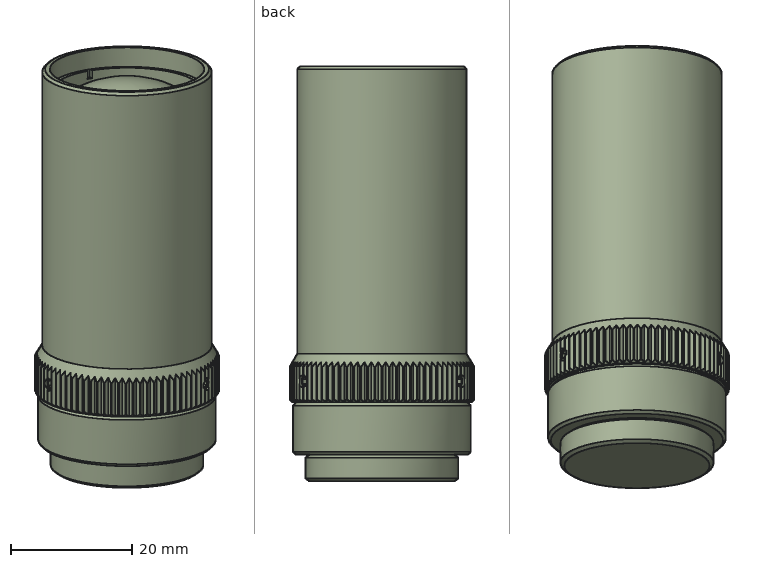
import cadquery as cq
import math

tube_diameter = 28.0
grip_diameter = 30.5
body_diameter = 29.4
mount_diameter = 25.3
mount_neck_diameter = 24.0

mount_edge_height = 3.9
body_bottom = 4.4
body_top = 12.5
grip_bottom = 13.0
grip_cone_top = 21.0
total_height = 68.5

edge_chamfer = 0.5
cone_angle_from_axis = math.radians(30)

rim_bore_diameter = 25.5
ring_bore_diameter = 24.0
lens_diameter = 23.7
ring_top = 65.2
lens_edge_height = 62.4
lens_dome_height = 4.2
spanner_slot_width = 0.8
spanner_slot_depth = 1.4

tooth_count = 80
tooth_crest_width = 0.2
tooth_depth = 0.445

screw_height = 16.5
screw_angles = (30, 150, 270)
screw_hole_diameter = 2.1
screw_face_depth = 0.55
socket_width = 1.3
socket_depth = 1.0

tube_radius = tube_diameter / 2
grip_radius = grip_diameter / 2
body_radius = body_diameter / 2
mount_radius = mount_diameter / 2
mount_neck_radius = mount_neck_diameter / 2
body_top_radius = body_radius - edge_chamfer
rim_bore_radius = rim_bore_diameter / 2
ring_bore_radius = ring_bore_diameter / 2
lens_radius = lens_diameter / 2
grip_cone_bottom = grip_cone_top - (grip_radius - tube_radius) / math.tan(cone_angle_from_axis)


def revolved_barrel():
    """Turned barrel with a stepped front opening closed by the lens dome."""
    dome_radius = (lens_radius**2 + lens_dome_height**2) / (2 * lens_dome_height)
    dome_center_height = lens_edge_height + lens_dome_height - dome_radius
    half_arc = math.asin(lens_radius / dome_radius) / 2
    dome_middle = (
        dome_radius * math.sin(half_arc),
        dome_center_height + dome_radius * math.cos(half_arc),
    )
    outline = (
        cq.Workplane("XZ")
        .lineTo(mount_neck_radius, 0)
        .lineTo(mount_radius, edge_chamfer)
        .lineTo(mount_radius, mount_edge_height)
        .lineTo(mount_neck_radius, body_bottom)
        .lineTo(body_radius - edge_chamfer, body_bottom)
        .lineTo(body_radius, body_bottom + edge_chamfer)
        .lineTo(body_radius, body_top)
        .lineTo(body_top_radius, grip_bottom)
        .lineTo(grip_radius - edge_chamfer, grip_bottom)
        .lineTo(grip_radius, grip_bottom + edge_chamfer)
        .lineTo(grip_radius, grip_cone_bottom)
        .lineTo(tube_radius, grip_cone_top)
        .lineTo(tube_radius, total_height - edge_chamfer)
        .lineTo(tube_radius - edge_chamfer, total_height)
        .lineTo(rim_bore_radius, total_height)
        .lineTo(rim_bore_radius, ring_top)
        .lineTo(ring_bore_radius, ring_top)
        .lineTo(ring_bore_radius, lens_edge_height)
        .lineTo(lens_radius, lens_edge_height)
        .threePointArc(dome_middle, (0, lens_edge_height + lens_dome_height))
        .close()
    )
    return outline.revolve(360, (0, 0, 0), (0, 1, 0))


def knurl_cutter():
    """Ring whose toothed inner wall leaves the knurl crests standing."""
    crest_half_angle = math.asin(tooth_crest_width / grip_diameter)
    root_radius = grip_radius - tooth_depth
    pitch = 2 * math.pi / tooth_count
    points = []
    for tooth in range(tooth_count):
        crest_angle = tooth * pitch
        for radius, angle in (
            (grip_radius, crest_angle - crest_half_angle),
            (grip_radius, crest_angle + crest_half_angle),
            (root_radius, crest_angle + pitch / 2),
        ):
            points.append((radius * math.cos(angle), radius * math.sin(angle)))
    height = grip_cone_top - grip_bottom
    base = cq.Workplane("XY").workplane(offset=grip_bottom)
    toothed_core = base.polyline(points).close().extrude(height)
    return base.circle(grip_diameter).extrude(height).cut(toothed_core)


def spanner_slots():
    """One bar across the opening that notches both sides of the retaining ring."""
    bar = cq.Workplane("XY").box(rim_bore_diameter, spanner_slot_width, spanner_slot_depth)
    bar = bar.translate((0, 0, ring_top - spanner_slot_depth / 2))
    bore = cq.Workplane("XY").circle(ring_bore_radius).extrude(total_height)
    return bar.cut(bore)


def set_screw_recess(angle):
    """Radial screw hole with a hexagonal socket in the screw face."""
    direction = cq.Vector(math.cos(math.radians(angle)), math.sin(math.radians(angle)), 0)
    face_radius = grip_radius - screw_face_depth
    face_center = direction * face_radius + cq.Vector(0, 0, screw_height)
    face = cq.Workplane(cq.Plane(origin=face_center, xDir=(0, 0, 1), normal=direction))
    hole = face.circle(screw_hole_diameter / 2).extrude(2 * screw_face_depth)
    socket_corner_diameter = socket_width / math.cos(math.radians(30))
    socket = face.polygon(6, socket_corner_diameter).extrude(-socket_depth)
    return hole.union(socket)


result = revolved_barrel().cut(knurl_cutter()).cut(spanner_slots())
for screw_angle in screw_angles:
    result = result.cut(set_screw_recess(screw_angle))